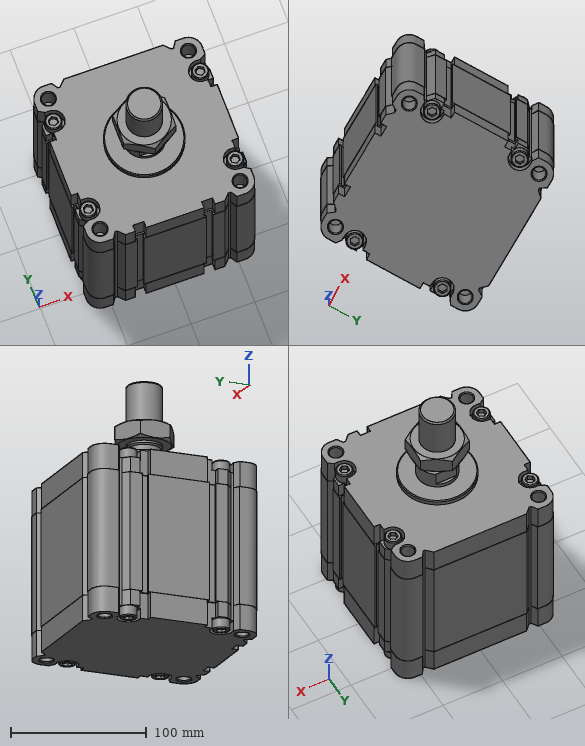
import cadquery as cq
import math

side = 132.0
half_side = side / 2
cap_setback = 0.2
cap_side = side - 2 * cap_setback
housing_height = 131.0
cap_height = 19.7
tube_corner_radius = 11.0
cap_corner_radius = tube_corner_radius - cap_setback

all_sides = (0, 90, 180, 270)
slotted_sides = (0, 90, 270)

notch_depth = 5.0
notch_floor_outer = 45.5
notch_floor_inner = 43.6
tube_notch_outer_end = 48.1
tube_notch_inner_end = 39.2
cap_notch_outer_end = 48.7
cap_notch_inner_end = 38.8

slot_offset = 27.0
slot_mouth_width = 5.0
slot_mouth_depth = 1.6
slot_inner_width = 6.5
slot_depth = 4.0
cap_slot_width = 8.5
cap_slot_depth = 5.3

mounting_hole_offset = 55.0
mounting_hole_diameter = 10.2
mounting_hole_chamfer = 0.8
mounting_hole_chamfer_angle = 90.0

screw_x = 57.7
screw_y = 37.1
screw_recess_radius = 8.5
screw_recess_depth = 8.0
screw_head_diameter = 13.0
screw_head_chamfer = 0.8
socket_across_flats = 6.5
socket_depth = 4.0

collar_diameter = 60.0
collar_height = 4.0
collar_chamfer = 0.8
collar_top = housing_height + collar_height

total_height = 203.0
rod_diameter = 32.0
rod_across_flats = 27.0
flats_bottom = 138.2
rod_shoulder = 149.0
neck_diameter = 24.8
thread_diameter = 27.0
thread_bottom = 154.0
thread_chamfer = 1.2

nut_across_flats = 41.0
nut_bottom = 157.0
nut_height = 14.0
nut_face_diameter = 40.0
nut_chamfer_angle = 30.0


def hexagon_diameter(across_flats):
    """Corner-to-corner size of a hexagon."""
    return across_flats / math.cos(math.radians(30))


def square_block(width, height, corner_radius):
    return cq.Workplane("XY").rect(width, width).extrude(height).edges("|Z").fillet(corner_radius)


def around_sides(cutter, angles):
    """Mirror a cutter of the -Y side about the middle of the side and repeat the pair at each angle about Z."""
    pair = cutter.union(cutter.mirror("YZ"))
    cutters = cq.Workplane("XY")
    for angle in angles:
        cutters = cutters.add(pair.rotate((0, 0, 0), (0, 0, 1), angle))
    return cutters.combine()


def notch(height, outer_end, inner_end):
    return (
        cq.Workplane("XY")
        .moveTo(outer_end, -half_side)
        .lineTo(notch_floor_outer, notch_depth - half_side)
        .lineTo(notch_floor_inner, notch_depth - half_side)
        .lineTo(inner_end, -half_side)
        .close()
        .extrude(height)
    )


def slot(height, width, outer_depth, inner_depth):
    """A rectangular channel between two depths below the -Y side."""
    middle_y = (outer_depth + inner_depth) / 2 - half_side
    return (
        cq.Workplane("XY")
        .center(slot_offset, middle_y)
        .rect(width, inner_depth - outer_depth)
        .extrude(height)
    )


def make_tube(height):
    t_slot = slot(height, slot_mouth_width, 0, slot_mouth_depth).union(
        slot(height, slot_inner_width, slot_mouth_depth, slot_depth)
    )
    notches = around_sides(notch(height, tube_notch_outer_end, tube_notch_inner_end), all_sides)
    slots = around_sides(t_slot, slotted_sides)
    return square_block(side, height, tube_corner_radius).cut(notches).cut(slots)


def make_cap_screw_head():
    """Screw head with its outer face at cap_height and a hexagon socket."""
    return (
        cq.Workplane("XY")
        .workplane(offset=cap_height - screw_recess_depth)
        .circle(screw_head_diameter / 2)
        .extrude(screw_recess_depth)
        .faces(">Z")
        .chamfer(screw_head_chamfer)
        .faces(">Z")
        .workplane()
        .transformed(rotate=(0, 0, 90))
        .polygon(6, hexagon_diameter(socket_across_flats))
        .cutBlind(-socket_depth)
    )


def make_screw_recess():
    """Round recess with straight walls running out past the +X side."""
    recess_floor = cq.Workplane("XY").workplane(offset=cap_height - screw_recess_depth)
    round_end = recess_floor.circle(screw_recess_radius).extrude(screw_recess_depth)
    opening = recess_floor.rect(side - 2 * screw_x, 2 * screw_recess_radius).extrude(screw_recess_depth)
    return round_end.union(opening.translate((half_side - screw_x, 0, 0)))


def make_cap():
    """End cap standing on Z = 0 with its outer face at cap_height."""
    notches = around_sides(notch(cap_height, cap_notch_outer_end, cap_notch_inner_end), all_sides)
    slots = around_sides(slot(cap_height, cap_slot_width, 0, cap_slot_depth), slotted_sides)
    cap = square_block(cap_side, cap_height, cap_corner_radius).cut(notches).cut(slots)
    cap = (
        cap.faces(">Z")
        .workplane()
        .rect(2 * mounting_hole_offset, 2 * mounting_hole_offset, forConstruction=True)
        .vertices()
        .cskHole(
            mounting_hole_diameter,
            mounting_hole_diameter + 2 * mounting_hole_chamfer,
            mounting_hole_chamfer_angle,
        )
    )
    recess = make_screw_recess()
    head = make_cap_screw_head()
    for angle in (0, 180):
        for y in (-screw_y, screw_y):
            place = cq.Location(cq.Vector(0, 0, 0), cq.Vector(0, 0, 1), angle)
            place = place * cq.Location(cq.Vector(screw_x, y, 0))
            cap = cap.cut(cq.Workplane(recess.val().moved(place)))
            cap = cap.union(cq.Workplane(head.val().moved(place)))
    return cap


def make_collar():
    return (
        cq.Workplane("XY")
        .workplane(offset=housing_height)
        .circle(collar_diameter / 2)
        .extrude(collar_height)
        .faces(">Z")
        .chamfer(collar_chamfer)
    )


def make_housing():
    tube = make_tube(housing_height - 2 * cap_height).translate((0, 0, cap_height))
    cap = make_cap()
    rod_end_cap = cap.translate((0, 0, housing_height - cap_height))
    rear_cap = cap.mirror("XY").translate((0, 0, cap_height))
    return tube.union(rod_end_cap).union(rear_cap).union(make_collar())


def make_rod():
    """Piston rod standing on the collar: round shank with two flats, neck and thread."""
    shank = (
        cq.Workplane("XY")
        .workplane(offset=collar_top)
        .circle(rod_diameter / 2)
        .extrude(rod_shoulder - collar_top)
    )
    flats = (
        cq.Workplane("XY")
        .workplane(offset=flats_bottom)
        .rect(2 * rod_diameter, 2 * rod_diameter)
        .rect(2 * rod_diameter, rod_across_flats)
        .extrude(rod_shoulder - flats_bottom)
    )
    neck = (
        cq.Workplane("XY")
        .workplane(offset=rod_shoulder)
        .circle(neck_diameter / 2)
        .extrude(thread_bottom - rod_shoulder)
    )
    thread = (
        cq.Workplane("XY")
        .workplane(offset=thread_bottom)
        .circle(thread_diameter / 2)
        .extrude(total_height - thread_bottom)
        .faces("<Z or >Z")
        .chamfer(thread_chamfer)
    )
    return shank.cut(flats).union(neck).union(thread)


def make_nut():
    """Hexagon nut with corners on the Y axis, both faces chamfered by a cone."""
    hexagon = (
        cq.Workplane("XY")
        .transformed(rotate=(0, 0, 90))
        .polygon(6, hexagon_diameter(nut_across_flats))
        .extrude(nut_height)
    )
    face_radius = nut_face_diameter / 2
    outer_radius = hexagon_diameter(nut_across_flats) / 2
    chamfer_height = (outer_radius - face_radius) * math.tan(math.radians(nut_chamfer_angle))
    chamfer_envelope = (
        cq.Workplane("XZ")
        .polyline(
            [
                (0, 0),
                (face_radius, 0),
                (outer_radius, chamfer_height),
                (outer_radius, nut_height - chamfer_height),
                (face_radius, nut_height),
                (0, nut_height),
            ]
        )
        .close()
        .revolve(360, (0, 0, 0), (0, 1, 0))
    )
    nut = hexagon.intersect(chamfer_envelope).faces(">Z").workplane().hole(thread_diameter)
    return nut.translate((0, 0, nut_bottom))


housing = make_housing()
rod = make_rod()
nut = make_nut()

result = cq.Compound.makeCompound([housing.val(), rod.val(), nut.val()])